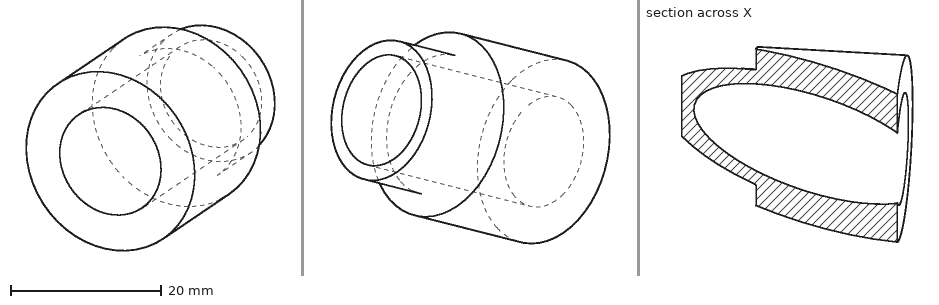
import cadquery as cq
import math

overall_y = 36.8
body_diameter = 25.0
body_length = 20.0
spigot_diameter = 19.0
bore_diameter = 15.02
root_fillet = 0.2
turn_angle = 24

turn = math.radians(turn_angle)
corner_offset = (body_diameter + spigot_diameter) / 2
total_length = (overall_y - corner_offset * math.sin(turn)) / math.cos(turn)

axis = cq.Vector(-math.sin(turn), math.cos(turn), 0)
body_face = cq.Workplane(cq.Plane(origin=axis * (-total_length / 2), xDir=(0, 0, 1), normal=axis))


def cylinder(diameter, length):
    """Cylinder along the sleeve axis, starting at the body's open face."""
    return body_face.circle(diameter / 2).extrude(length)


body = cylinder(body_diameter, body_length)
spigot = cylinder(spigot_diameter, total_length)
sleeve = body.union(spigot)

shoulder_centre = axis * (body_length - total_length / 2)
shoulder_face = sleeve.faces(cq.selectors.ParallelDirSelector(axis)).faces(
    cq.selectors.NearestToPointSelector(shoulder_centre.toTuple())
)
root_edge = shoulder_face.edges(cq.selectors.RadiusNthSelector(0))
sleeve = root_edge.fillet(root_fillet)

bore = cylinder(bore_diameter, total_length)
result = sleeve.cut(bore)